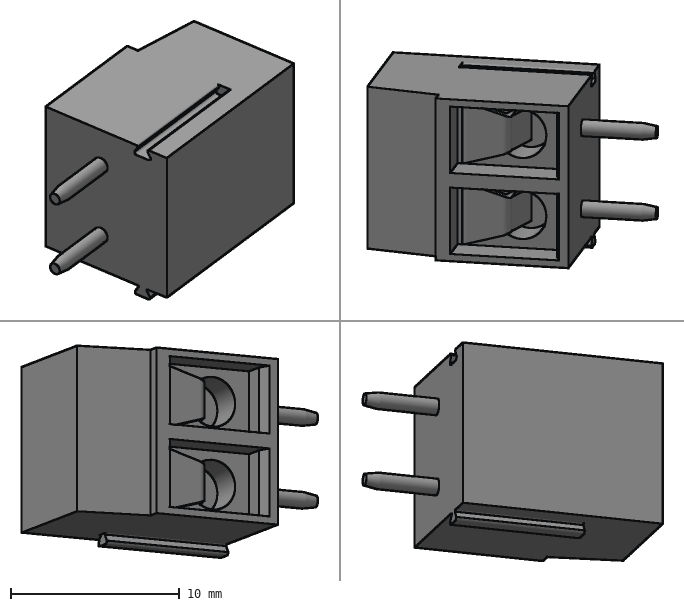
import cadquery as cq
import math

BODY_WIDTH = 9.0
BODY_DEPTH = 12.5
BODY_HEIGHT = 10.0
SHOULDER_Y = 8.03
SHOULDER_SETBACK = 0.8
BACK_SETBACK = 1.58

POLE_COUNT = 2
POLE_PITCH = BODY_HEIGHT / POLE_COUNT

PIN_X = 4.1
PIN_RADIUS = 0.5
PIN_TIP_RADIUS = 0.36
PIN_LENGTH = 4.5
PIN_TAPER_LENGTH = 0.83

WINDOW_Y_MIN = 0.55
WINDOW_Y_MAX = 7.15
WINDOW_HEIGHT = 4.1
WINDOW_DEPTH = 2.13
WINDOW_CHAMFER_RUN = 0.31
WINDOW_CHAMFER_DEPTH = 0.8

HOLE_Y = 3.28
HOLE_RADIUS = 1.5
HOLE_DEPTH = BODY_WIDTH / 2

GUARD_HEIGHT = 0.48
GUARD_ROUNDING = 0.43
GUARD_Y_MIN = 3.87
GUARD_Y_MAX = 6.86
GUARD_TIP_Y = 3.18
GUARD_FRONT_HALF = 1.22
GUARD_BACK_HALF = 1.96
GUARD_TONGUE_HALF = 1.05

DOVETAIL_X = 7.2
DOVETAIL_LENGTH = SHOULDER_Y
DOVETAIL_LIP = 0.18
DOVETAIL_CORNER_RADIUS = 0.17
TONGUE_HEIGHT = 0.68
TONGUE_NECK_HALF = 0.31
TONGUE_BASE_HALF = 0.57
TONGUE_ROOT_RADIUS = 0.09
GROOVE_DEPTH = 0.7
GROOVE_NECK_HALF = 0.36
GROOVE_BASE_HALF = 0.6
GROOVE_ROOT_RADIUS = 0.12

ARC_MIDDLE = 1 - math.sqrt(0.5)


def make_housing():
    outline = [
        (0, 0),
        (BODY_WIDTH, 0),
        (BODY_WIDTH, BODY_DEPTH),
        (BACK_SETBACK, BODY_DEPTH),
        (SHOULDER_SETBACK, SHOULDER_Y),
        (0, SHOULDER_Y),
    ]
    return cq.Workplane("XY").polyline(outline).close().extrude(BODY_HEIGHT)


def make_pin(center_z):
    shank_length = PIN_LENGTH - PIN_TAPER_LENGTH
    profile = [
        (0, 0),
        (PIN_RADIUS, 0),
        (PIN_RADIUS, -shank_length),
        (PIN_TIP_RADIUS, -PIN_LENGTH),
        (0, -PIN_LENGTH),
    ]
    pin = cq.Workplane("XY").polyline(profile).close().revolve(360, (0, 0, 0), (0, 1, 0))
    return pin.translate((PIN_X, 0, center_z))


def make_window(center_z):
    profile = [
        (0, WINDOW_Y_MIN),
        (WINDOW_CHAMFER_DEPTH, WINDOW_Y_MIN + WINDOW_CHAMFER_RUN),
        (WINDOW_DEPTH, WINDOW_Y_MIN + WINDOW_CHAMFER_RUN),
        (WINDOW_DEPTH, WINDOW_Y_MAX),
        (0, WINDOW_Y_MAX),
    ]
    window = cq.Workplane("XY").polyline(profile).close().extrude(WINDOW_HEIGHT / 2, both=True)
    return window.translate((0, 0, center_z))


def make_clamp_hole(center_z):
    return cq.Workplane("YZ").center(HOLE_Y, center_z).circle(HOLE_RADIUS).extrude(HOLE_DEPTH)


def make_guard(center_z):
    """Plate with rounded ends and a tongue sloping from its front end to the hole bottom."""
    radius = GUARD_ROUNDING
    top_x = WINDOW_DEPTH - GUARD_HEIGHT
    edge_x = top_x + radius
    arc_x = top_x + radius * ARC_MIDDLE
    side_profile = (
        cq.Workplane("XY")
        .moveTo(HOLE_DEPTH, GUARD_TIP_Y)
        .lineTo(WINDOW_DEPTH, GUARD_Y_MIN)
        .lineTo(edge_x, GUARD_Y_MIN)
        .threePointArc((arc_x, GUARD_Y_MIN + radius * ARC_MIDDLE), (top_x, GUARD_Y_MIN + radius))
        .lineTo(top_x, GUARD_Y_MAX - radius)
        .threePointArc((arc_x, GUARD_Y_MAX - radius * ARC_MIDDLE), (edge_x, GUARD_Y_MAX))
        .lineTo(HOLE_DEPTH, GUARD_Y_MAX)
        .close()
        .extrude(GUARD_BACK_HALF, both=True)
    )
    upper_edge = [
        (GUARD_TIP_Y, GUARD_TONGUE_HALF),
        (GUARD_Y_MIN, GUARD_TONGUE_HALF),
        (GUARD_Y_MIN + radius, GUARD_FRONT_HALF),
        (GUARD_Y_MAX, GUARD_BACK_HALF),
    ]
    lower_edge = [(y, -z) for y, z in reversed(upper_edge)]
    outline = cq.Workplane("YZ").polyline(upper_edge + lower_edge).close().extrude(HOLE_DEPTH)
    return side_profile.intersect(outline).translate((0, 0, center_z))


def make_dovetail(height, neck_half, base_half, root_radius):
    """Dovetail hanging down from Z = 0, with a flared root and rounded corners at the wide end."""
    root_half = neck_half + root_radius
    arc_half = neck_half + root_radius * ARC_MIDDLE
    arc_z = -root_radius * ARC_MIDDLE
    bar = (
        cq.Workplane("XZ")
        .moveTo(root_half, 0)
        .threePointArc((arc_half, arc_z), (neck_half, -root_radius))
        .lineTo(base_half, DOVETAIL_LIP - height)
        .lineTo(base_half, -height)
        .lineTo(-base_half, -height)
        .lineTo(-base_half, DOVETAIL_LIP - height)
        .lineTo(-neck_half, -root_radius)
        .threePointArc((-arc_half, arc_z), (-root_half, 0))
        .close()
        .extrude(-DOVETAIL_LENGTH)
    )
    bar = bar.faces("<Z").edges("|Y").fillet(DOVETAIL_CORNER_RADIUS)
    return bar.translate((DOVETAIL_X, 0, 0))


def make_tongue():
    return make_dovetail(TONGUE_HEIGHT, TONGUE_NECK_HALF, TONGUE_BASE_HALF, TONGUE_ROOT_RADIUS)


def make_groove():
    groove = make_dovetail(GROOVE_DEPTH, GROOVE_NECK_HALF, GROOVE_BASE_HALF, GROOVE_ROOT_RADIUS)
    return groove.translate((0, 0, BODY_HEIGHT))


result = make_housing().cut(make_groove()).union(make_tongue())
for pole in range(POLE_COUNT):
    pole_z = POLE_PITCH * (pole + 0.5)
    result = result.cut(make_window(pole_z)).cut(make_clamp_hole(pole_z))
    result = result.union(make_guard(pole_z)).union(make_pin(pole_z))